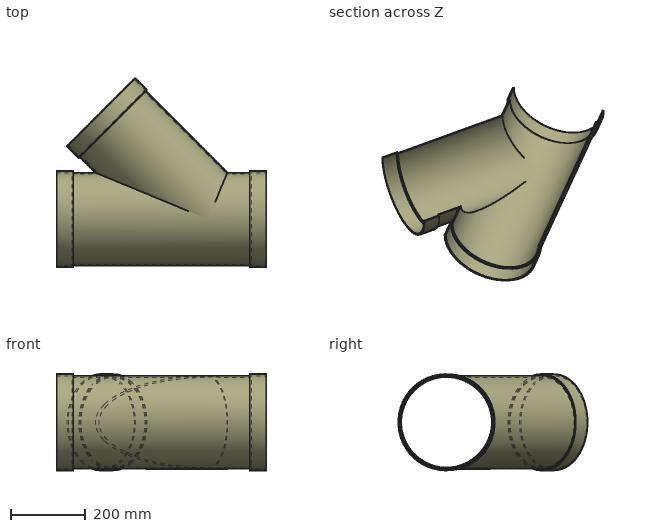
import cadquery as cq

run_length = 560.0
branch_length = 404.5
branch_angle = 45.0
run_left = -branch_length

pipe_bore = 242.0
pipe_outer = 250.0
socket_bore = pipe_outer
socket_outer = 258.0
socket_length = 44.0
wall = (pipe_outer - pipe_bore) / 2
shoulder_taper = wall


def cylinder(diameter, start, length):
    """Cylinder along X that begins at x = start."""
    return cq.Workplane("YZ", origin=(start, 0, 0)).circle(diameter / 2).extrude(length)


def along_branch(body):
    """Swing a body from the -X direction onto the branch axis."""
    return body.rotate((0, 0, 0), (0, 0, 1), -branch_angle)


def straight_end(diameter):
    """Raised collar, starting at x = 0 and pointing towards +X."""
    return cylinder(diameter, 0, socket_length)


def tapered_end(diameter):
    """Socket cavity from x = 0 towards +X, chamfered where it meets the pipe bore."""
    return straight_end(diameter).faces(">X").chamfer(shoulder_taper)


def run_body(pipe_diameter, end):
    """Straight run at one diameter, with a wider end body at both ends."""
    pipe = cylinder(pipe_diameter, run_left, run_length)
    left_end = end.translate((run_left, 0, 0))
    right_end = end.mirror("YZ").translate((run_left + run_length, 0, 0))
    return pipe.union(left_end).union(right_end)


def branch_body(pipe_diameter, end):
    """Branch from the origin at one diameter, with a wider end body at its mouth."""
    pipe = cylinder(pipe_diameter, -branch_length, branch_length)
    mouth = end.translate((-branch_length, 0, 0))
    return along_branch(pipe.union(mouth))


def wye(pipe_diameter, end):
    """Run and branch joined into one solid body."""
    return run_body(pipe_diameter, end).union(branch_body(pipe_diameter, end))


outside = wye(pipe_outer, straight_end(socket_outer))
inside = wye(pipe_bore, tapered_end(socket_bore))
result = outside.cut(inside)